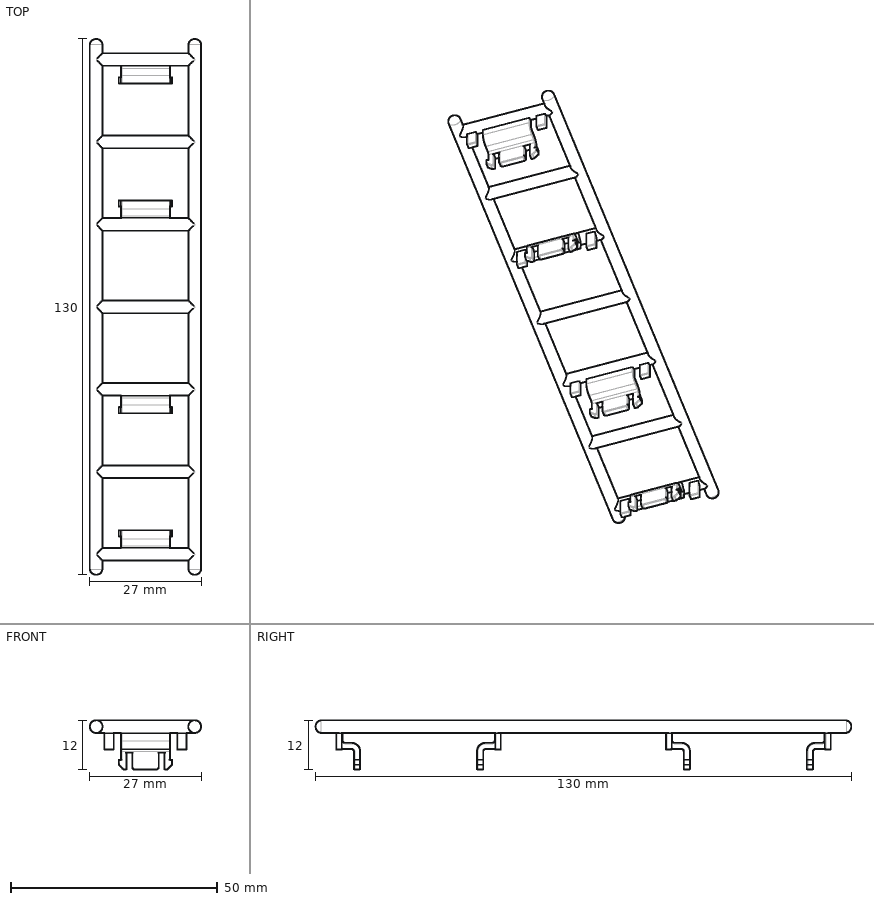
import cadquery as cq
import math

length = 130.0
tube_diameter = 3.1
tube_radius = tube_diameter / 2
rail_spacing = 23.9
rail_x = rail_spacing / 2
rail_tip_length = 1.3
rung_count = 7
rung_span = 120.0
rung_pitch = rung_span / (rung_count - 1)

strap_thickness = 1.5
strap_width = 12.0
strap_reach = 5.8
shelf_bottom_z = -5.5
clip_bottom_z = -10.4
edge_radius = 0.2
bend_inner_radius = 0.5
bend_outer_radius = bend_inner_radius + strap_thickness

slot_top_z = -6.4
tab_half_width = 3.2
tab_corner = 0.4
prong_inner_x = 4.5
barb_x = 6.5
barb_top_z = -8.0
barb_bottom_z = -9.2
prong_tip_x = 5.3

post_width = 2.3
post_thickness = 1.4
post_x = 8.8
post_bottom_z = -5.6


def make_rail(x):
    """Round rail along Y with a domed tip at both ends."""
    half = length / 2
    shoulder = half - rail_tip_length
    dome_radius = (tube_radius**2 + rail_tip_length**2) / (2 * rail_tip_length)
    dome_mid_x = tube_radius / 2
    dome_mid_y = half - dome_radius + math.sqrt(dome_radius**2 - dome_mid_x**2)
    outline = (
        cq.Workplane("XY")
        .moveTo(0, -half)
        .threePointArc((dome_mid_x, -dome_mid_y), (tube_radius, -shoulder))
        .lineTo(tube_radius, shoulder)
        .threePointArc((dome_mid_x, dome_mid_y), (0, half))
        .close()
    )
    return outline.revolve(360, (0, 0), (0, 1)).translate((x, 0, 0))


def make_rung(y):
    """Round rung along X, ending on the rail axes."""
    return (
        cq.Workplane("YZ", origin=(-rail_x, y, 0))
        .circle(tube_radius)
        .extrude(rail_spacing)
    )


def make_bent_sheet():
    """S-bent sheet, as wide as the barbs, stepping from the rung axis towards +Y."""
    shelf_top_z = shelf_bottom_z + strap_thickness
    leg_inner_y = strap_reach - strap_thickness
    sheet = (
        cq.Workplane("YZ", origin=(-barb_x, 0, 0))
        .polyline([
            (0, 0),
            (0, shelf_bottom_z),
            (leg_inner_y, shelf_bottom_z),
            (leg_inner_y, clip_bottom_z),
            (strap_reach, clip_bottom_z),
            (strap_reach, shelf_top_z),
            (strap_thickness, shelf_top_z),
            (strap_thickness, 0),
        ])
        .close()
        .extrude(2 * barb_x)
    )
    bends = [
        (0, shelf_bottom_z, bend_outer_radius),
        (strap_reach, shelf_top_z, bend_outer_radius),
        (strap_thickness, shelf_top_z, bend_inner_radius),
        (leg_inner_y, shelf_bottom_z, bend_inner_radius),
    ]
    for y, z, radius in bends:
        corner = cq.selectors.NearestToPointSelector((0, y, z))
        sheet = sheet.edges(corner).fillet(radius)
    return sheet


def make_strap_outline():
    """Block with the strap's XZ outline: barbed prongs either side of a centre tab."""
    right_half = [
        (strap_width / 2, 0),
        (strap_width / 2, barb_top_z),
        (barb_x, barb_top_z),
        (barb_x, barb_bottom_z),
        (prong_tip_x, clip_bottom_z),
        (prong_inner_x, clip_bottom_z),
        (prong_inner_x, slot_top_z),
        (tab_half_width, slot_top_z),
        (tab_half_width, clip_bottom_z + tab_corner),
        (tab_half_width - tab_corner, clip_bottom_z),
    ]
    left_half = [(-x, z) for x, z in reversed(right_half)]
    return (
        cq.Workplane("XZ", origin=(0, strap_reach, 0))
        .polyline(right_half + left_half)
        .close()
        .extrude(strap_reach)
    )


def make_strap():
    """Bent sheet trimmed to the strap outline, with its free edges rounded."""
    strap = make_bent_sheet().intersect(make_strap_outline())
    side_edges = strap.edges("not (|X or |Y or >Z)")
    return side_edges.add(strap.faces("<Z").edges()).fillet(edge_radius)


def make_post(x):
    """Rectangular post below the rung, with its free edges rounded."""
    return (
        cq.Workplane("XY")
        .box(post_width, post_thickness, -post_bottom_z, centered=(True, False, False))
        .translate((x, 0, post_bottom_z))
        .edges("not >Z")
        .fillet(edge_radius)
    )


def make_clip():
    """Strap with a post on each side."""
    return make_strap().union(make_post(-post_x)).union(make_post(post_x))


rung_ys = [index * rung_pitch - rung_span / 2 for index in range(rung_count)]

result = make_rail(-rail_x).union(make_rail(rail_x))
for rung_y in rung_ys:
    result = result.union(make_rung(rung_y))

clip = make_clip()
for clip_index, rung_y in enumerate(rung_ys[::2]):
    turn = 180 * (clip_index % 2)
    placed_clip = clip.rotate((0, 0, 0), (0, 0, 1), turn).translate((0, rung_y, 0))
    result = result.union(placed_clip)